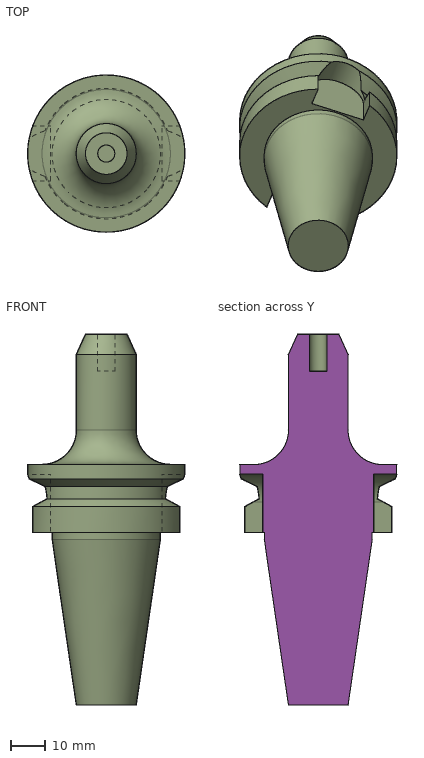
import cadquery as cq

total_length = 108.4

gauge_radius = 15.8
gauge_height = 48.3
taper_ratio = 7 / 24
small_end_radius = gauge_radius - gauge_height * taper_ratio / 2

flange_radius = 23.0
flange_bottom = 50.4
flange_top = 70.4
groove_radius = 19.1
lower_rim_height = 7.6
upper_rim_height = 4.2
groove_side_height = 2.3
lower_rim_top = flange_bottom + lower_rim_height
groove_bottom = lower_rim_top + groove_side_height
upper_rim_bottom = flange_top - upper_rim_height
groove_top = upper_rim_bottom - groove_side_height

nose_radius = 8.8
blend_radius = 10.0
tip_radius = 6.1
tip_height = 6.0
hole_diameter = 5.0
hole_depth = 10.8

slot_width = 16.0
slot_floor_radius = 16.3
slot_crown_below_flange_top = 2.9
slot_crown_height = flange_top - slot_crown_below_flange_top
slot_arc_height = slot_crown_height - slot_width / 2


def make_body():
    """Revolve the half section of the shank, flange and nose."""
    blend_outer_radius = nose_radius + blend_radius
    blend_top = flange_top + blend_radius
    diagonal_offset = blend_radius * 0.5 ** 0.5
    blend_middle = (blend_outer_radius - diagonal_offset, blend_top - diagonal_offset)
    return (
        cq.Workplane("XZ")
        .lineTo(small_end_radius, 0)
        .lineTo(gauge_radius, gauge_height)
        .lineTo(gauge_radius, flange_bottom)
        .lineTo(flange_radius, flange_bottom)
        .lineTo(flange_radius, lower_rim_top)
        .lineTo(groove_radius, groove_bottom)
        .lineTo(groove_radius, groove_top)
        .lineTo(flange_radius, upper_rim_bottom)
        .lineTo(flange_radius, flange_top)
        .lineTo(blend_outer_radius, flange_top)
        .threePointArc(blend_middle, (nose_radius, blend_top))
        .lineTo(nose_radius, total_length - tip_height)
        .lineTo(tip_radius, total_length)
        .lineTo(0, total_length)
        .close()
        .revolve(360, (0, 0, 0), (0, 1, 0))
    )


def make_drive_slot():
    """Cutter for the +X slot, open at the underside and rim of the flange."""
    half_width = slot_width / 2
    return (
        cq.Workplane("YZ", origin=(slot_floor_radius, 0, 0))
        .moveTo(-half_width, flange_bottom)
        .lineTo(half_width, flange_bottom)
        .lineTo(half_width, slot_arc_height)
        .threePointArc((0, slot_crown_height), (-half_width, slot_arc_height))
        .close()
        .extrude(flange_radius - slot_floor_radius)
    )


result = make_body()
for angle in (0, 180):
    result = result.cut(make_drive_slot().rotate((0, 0, 0), (0, 0, 1), angle))

result = result.faces(">Z").workplane().hole(hole_diameter, hole_depth)